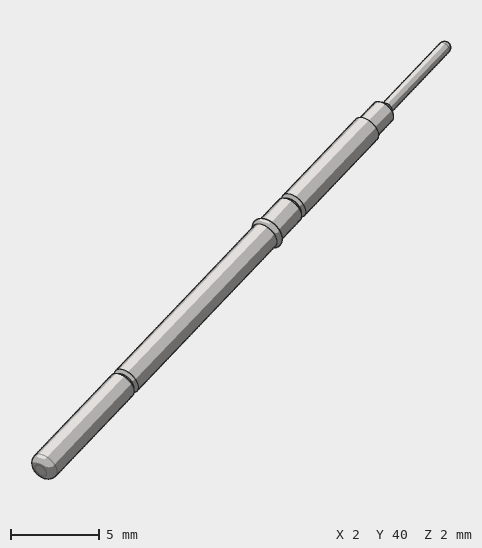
import cadquery as cq
import math

LENGTH = 40.0

BARREL_RADIUS = 0.85
BARREL_END = LENGTH - 8.0
BARREL_ROUND = 0.45

COLLAR_RADIUS = 0.7
COLLAR_END = LENGTH - 6.0

PLUNGER_RADIUS = 0.35
COLLAR_BEVEL = COLLAR_RADIUS - PLUNGER_RADIUS

RING_RADIUS = 1.0
RING_BEAD_RADIUS = 0.25
RING_CENTER = 22.25

GROOVE_CENTERS = (8.2, 24.65)
GROOVE_WIDTH = 0.4
GROOVE_DEPTH = 0.15

DIAGONAL = math.sqrt(0.5)


def make_shaft():
    """Barrel, collar and plunger revolved as one stepped shaft."""
    profile = (
        cq.Workplane("XY")
        .lineTo(BARREL_RADIUS - BARREL_ROUND, 0)
        .threePointArc(
            (BARREL_RADIUS - BARREL_ROUND * (1 - DIAGONAL), BARREL_ROUND * (1 - DIAGONAL)),
            (BARREL_RADIUS, BARREL_ROUND),
        )
        .lineTo(BARREL_RADIUS, BARREL_END)
        .lineTo(COLLAR_RADIUS, BARREL_END)
        .lineTo(COLLAR_RADIUS, COLLAR_END - COLLAR_BEVEL)
        .lineTo(PLUNGER_RADIUS, COLLAR_END)
        .lineTo(PLUNGER_RADIUS, LENGTH - PLUNGER_RADIUS)
        .threePointArc(
            (PLUNGER_RADIUS * DIAGONAL, LENGTH - PLUNGER_RADIUS * (1 - DIAGONAL)),
            (0, LENGTH),
        )
    )
    return profile.close().revolve(360, (0, 0), (0, 1))


def make_ring():
    """Half-round bead on the barrel."""
    bead_center_radius = RING_RADIUS - RING_BEAD_RADIUS
    return (
        cq.Workplane("XY")
        .moveTo(0, RING_CENTER - RING_BEAD_RADIUS)
        .lineTo(bead_center_radius, RING_CENTER - RING_BEAD_RADIUS)
        .threePointArc(
            (RING_RADIUS, RING_CENTER),
            (bead_center_radius, RING_CENTER + RING_BEAD_RADIUS),
        )
        .lineTo(0, RING_CENTER + RING_BEAD_RADIUS)
        .close()
        .revolve(360, (0, 0), (0, 1))
    )


def make_groove(center):
    """Cutter for one groove: a triangle with its base on the barrel surface."""
    half_width = GROOVE_WIDTH / 2
    return (
        cq.Workplane("XY")
        .moveTo(BARREL_RADIUS, center - half_width)
        .lineTo(BARREL_RADIUS - GROOVE_DEPTH, center)
        .lineTo(BARREL_RADIUS, center + half_width)
        .close()
        .revolve(360, (0, 0), (0, 1))
    )


result = make_shaft().union(make_ring())
for groove_center in GROOVE_CENTERS:
    result = result.cut(make_groove(groove_center))